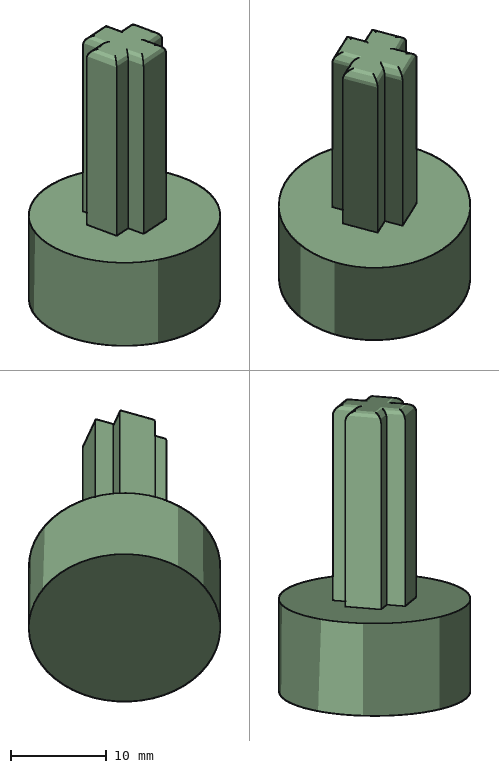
import cadquery as cq

total_height = 31
base_diameter = 20.0
base_height = base_diameter / 2
cross_span = 7.9
arm_width = 3.9
top_fillet = 1.0


def make_base():
    """Round base standing on the XY plane."""
    return cq.Workplane("XY").circle(base_diameter / 2).extrude(base_height)


def make_cross_shaft():
    """Plus-shaped shaft above the base, rounded around its top edge."""
    shaft_height = total_height - base_height
    seat = cq.Workplane("XY").workplane(offset=base_height)
    arm_along_x = seat.rect(cross_span, arm_width).extrude(shaft_height)
    arm_along_y = seat.rect(arm_width, cross_span).extrude(shaft_height)
    return arm_along_x.union(arm_along_y).faces(">Z").edges().fillet(top_fillet)


result = make_base().union(make_cross_shaft())